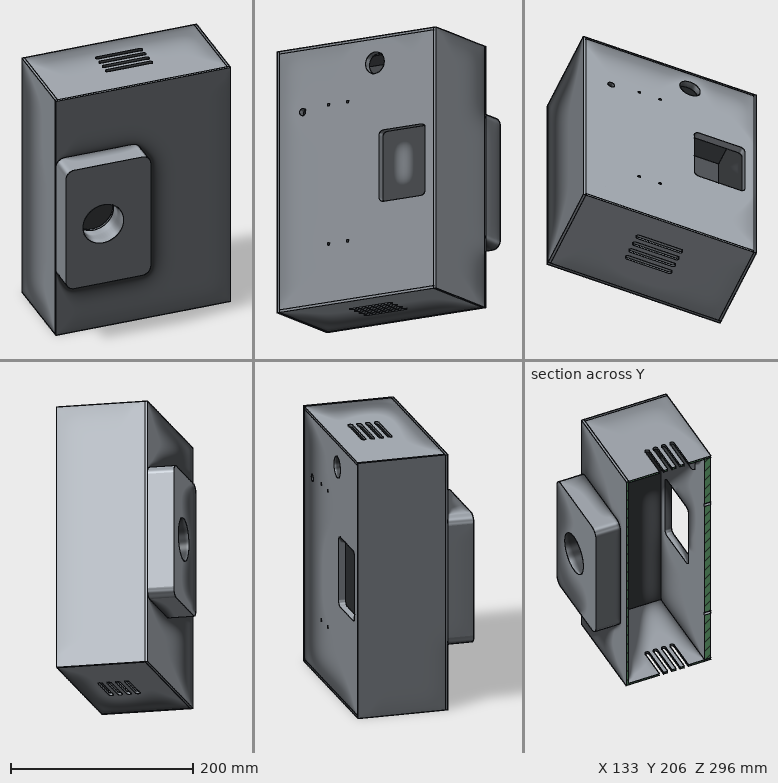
import cadquery as cq

HEIGHT = 296.0
WIDTH = 206.0
WALL = 3.0
DEPTH = 100.0
FACE_THICKNESS = 8.0

HOUSING_DEPTH = 30.0
HOUSING_WIDTH = 100.0
HOUSING_HEIGHT = 149.8
HOUSING_RADIUS = 10.0
HOUSING_Y = (HOUSING_WIDTH - WIDTH) / 2
BORE_DIAMETER = 48.0
BORE_Y = -59.0

WINDOW_WIDTH = 60.0
WINDOW_HEIGHT = 81.0
WINDOW_RADIUS = 6.0
WINDOW_Y = -59.2

BUTTON_DIAMETER = 24.3
BUTTON_Y = -24.0
BUTTON_Z = 118.0
LAMP_DIAMETER = 8.0
LAMP_Y = 70.0
LAMP_Z = 75.2
SCREW_DIAMETER = 3.0
SCREW_Y = 24.0
SCREW_PITCH_Y = 25.0
SCREW_PITCH_Z = 157.8

SLOT_COUNT = 4
SLOT_PITCH = 10.0
SLOT_WIDTH = 5.0
SLOT_LENGTH = 55.0
SLOT_X = 45.0
SLOT_Y = 0.0

INNER_WIDTH = WIDTH - 2 * WALL
INNER_HEIGHT = HEIGHT - 2 * WALL


def slab(x_start, thickness, width, height):
    """Upright rectangular slab, centred on the X axis, starting at x_start."""
    return cq.Workplane("YZ", origin=(x_start, 0, 0)).rect(width, height).extrude(thickness)


def side_panel(side):
    """Full-height wall on the +Y (side = 1) or -Y (side = -1) edge."""
    y_centre = side * (WIDTH - WALL) / 2
    return cq.Workplane("XY").box(DEPTH, WALL, HEIGHT).translate((DEPTH / 2, y_centre, 0))


def end_panel(side):
    """Slotted wall at the top (side = 1) or bottom (side = -1), between the side panels."""
    panel = cq.Workplane("XY").box(DEPTH, INNER_WIDTH, WALL)
    slots = (
        cq.Workplane("XY")
        .center(SLOT_X - DEPTH / 2, SLOT_Y)
        .rarray(SLOT_PITCH, 3, SLOT_COUNT, 1)
        .slot2D(SLOT_LENGTH, SLOT_WIDTH, 90)
        .extrude(WALL, both=True)
    )
    return panel.cut(slots).translate((DEPTH / 2, 0, side * (HEIGHT - WALL) / 2))


def face_panel():
    """Front panel framed by the walls, with a window and holes for the fittings."""
    panel = slab(0, FACE_THICKNESS, INNER_WIDTH, INNER_HEIGHT)
    window = slab(0, FACE_THICKNESS, WINDOW_WIDTH, WINDOW_HEIGHT).edges("|X").fillet(WINDOW_RADIUS)
    plane = cq.Workplane("YZ")
    button = plane.center(BUTTON_Y, BUTTON_Z).circle(BUTTON_DIAMETER / 2).extrude(FACE_THICKNESS)
    lamp = plane.center(LAMP_Y, LAMP_Z).circle(LAMP_DIAMETER / 2).extrude(FACE_THICKNESS)
    screws = (
        plane.center(SCREW_Y, 0)
        .rarray(SCREW_PITCH_Y, SCREW_PITCH_Z, 2, 2)
        .circle(SCREW_DIAMETER / 2)
        .extrude(FACE_THICKNESS)
    )
    return panel.cut(window.translate((0, WINDOW_Y, 0))).cut(button).cut(lamp).cut(screws)


def bore(x_start, length):
    """Cylinder that cuts the bore through a body starting at x_start."""
    return cq.Workplane("YZ", origin=(x_start, BORE_Y, 0)).circle(BORE_DIAMETER / 2).extrude(length)


def rear_panel():
    """Panel closing the case behind the walls, covering their edges."""
    return slab(DEPTH, WALL, WIDTH, HEIGHT).cut(bore(DEPTH, WALL))


def rear_housing():
    """Rounded block on the back of the rear panel."""
    x_start = DEPTH + WALL
    block = slab(x_start, HOUSING_DEPTH, HOUSING_WIDTH, HOUSING_HEIGHT)
    block = block.edges("|X").fillet(HOUSING_RADIUS).translate((0, HOUSING_Y, 0))
    return block.cut(bore(x_start, HOUSING_DEPTH))


side_panels = [side_panel(side) for side in (-1, 1)]
end_panels = [end_panel(side) for side in (-1, 1)]

result = cq.Compound.makeCompound([
    *[panel.val() for panel in side_panels],
    *[panel.val() for panel in end_panels],
    face_panel().val(),
    rear_panel().val(),
    rear_housing().val(),
])